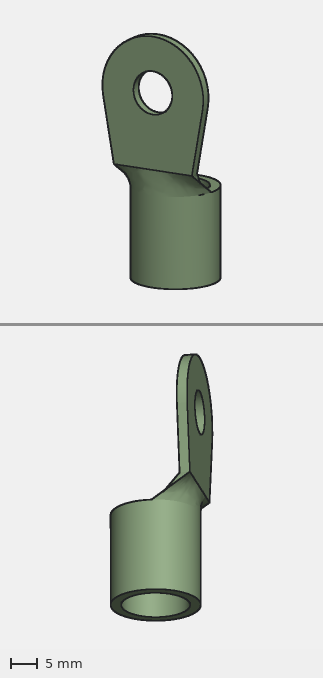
import cadquery as cq
import math

total_height = 49.0
barrel_diameter = 17.0
wall = 2.0
barrel_height = 18.05
tongue_bottom = 23.0
head_diameter = 22.0
hole_diameter = 8.45
neck_setback = 1.1

outer_radius = barrel_diameter / 2
inner_radius = outer_radius - wall
head_radius = head_diameter / 2
head_center_z = total_height - head_radius
tongue_front = -outer_radius
tongue_back = tongue_front + wall


def make_barrel():
    """Open tube that receives the cable."""
    return cq.Workplane("XY").circle(outer_radius).circle(inner_radius).extrude(barrel_height)


def make_tongue():
    """Flat plate whose straight sides run tangent into the round head."""
    drop = head_center_z - tongue_bottom
    corner_distance = math.hypot(outer_radius, drop)
    tangent_angle = math.acos(head_radius / corner_distance) - math.atan2(drop, outer_radius)
    tangent_x = head_radius * math.cos(tangent_angle)
    tangent_z = head_center_z + head_radius * math.sin(tangent_angle)

    return (
        cq.Workplane("XZ", origin=(0, tongue_back, 0))
        .moveTo(-outer_radius, tongue_bottom)
        .lineTo(outer_radius, tongue_bottom)
        .lineTo(tangent_x, tangent_z)
        .threePointArc((0, total_height), (-tangent_x, tangent_z))
        .close()
        .moveTo(0, head_center_z)
        .circle(hole_diameter / 2)
        .extrude(wall)
    )


def make_neck():
    """Ruled transition from the front of the barrel wall to the foot of the tongue."""
    outer_x = math.sqrt(outer_radius**2 - neck_setback**2)
    inner_x = math.sqrt(inner_radius**2 - neck_setback**2)
    lower = [
        cq.Vector(x, -neck_setback, barrel_height) for x in (-outer_x, outer_x, inner_x, -inner_x)
    ]
    upper = [
        cq.Vector(-outer_radius, tongue_front, tongue_bottom),
        cq.Vector(outer_radius, tongue_front, tongue_bottom),
        cq.Vector(outer_radius, tongue_back, tongue_bottom),
        cq.Vector(-outer_radius, tongue_back, tongue_bottom),
    ]
    outer_middle = cq.Vector(0, -outer_radius, barrel_height)
    inner_middle = cq.Vector(0, -inner_radius, barrel_height)
    lower_edges = [
        cq.Edge.makeThreePointArc(lower[0], outer_middle, lower[1]),
        cq.Edge.makeLine(lower[1], lower[2]),
        cq.Edge.makeThreePointArc(lower[2], inner_middle, lower[3]),
        cq.Edge.makeLine(lower[3], lower[0]),
    ]
    upper_edges = [
        cq.Edge.makeLine(start, end) for start, end in zip(upper, upper[1:] + upper[:1])
    ]
    faces = [cq.Face.makeRuledSurface(low, high) for low, high in zip(lower_edges, upper_edges)]
    for edges in (lower_edges, upper_edges):
        faces.append(cq.Face.makeFromWires(cq.Wire.assembleEdges(edges)))
    return cq.Workplane(cq.Solid.makeSolid(cq.Shell.makeShell(faces)).fix())


result = make_barrel().union(make_neck()).union(make_tongue())